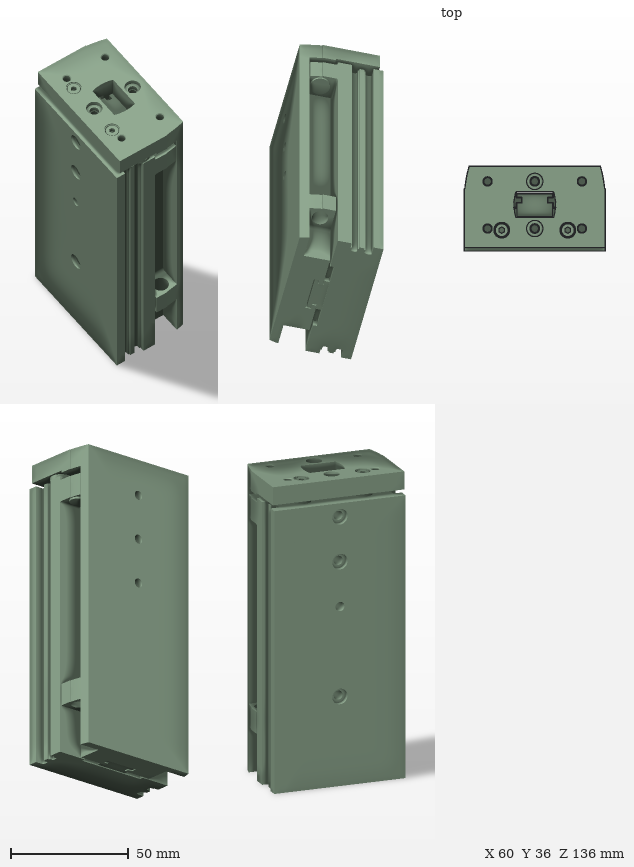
import cadquery as cq

WIDTH = 60.0
DEPTH = 36.0
HALF_WIDTH = WIDTH / 2
SLIDE_HEIGHT = 136.0
HOUSING_HEIGHT = 125.8
Y_BACK = DEPTH / 2
Y_FRONT = -DEPTH / 2

END_PLATE_FRONT = -16.5
END_PLATE_BOTTOM = 128.0
INNER_PLATE_BOTTOM = 127.0
BACK_PLATE_INNER = 14.0
BACK_HALF_WIDTH = 27.9
SIDE_ARC_HALF_WIDTH = 29.0
SIDE_ARC_MIDDLE = 13.3
SIDE_ARC_END = 8.5
SIDE_ARC_STEP = 0.3
WALL_HALF_WIDTH = 18.9
WALL_BOTTOM = 2.7
WALL_FILLET = 1.4
STOP_LOW = 20.8
STOP_HIGH = 30.6
ARM_HALF_WIDTH = 15.6
ARM_BOTTOM = 0.5
ARM_LOW = 2.7
LEDGE_HALF_WIDTH = 17.0
LEDGE_BOTTOM = 2.3
LEDGE_LOW = 44.9
WINDOW_LOW = 123.8
WINDOW_TOP = 7.1
WINDOW_BOTTOM = -3.7
WINDOW_HALF_WIDTH = 8.0
WINDOW_BULGE = 0.8

HOUSING_BACK = 1.9
RECESS_HALF_WIDTH = 16.0
RECESS_FLOOR = 0.1
GROOVE_DEPTH = 4.1
GROOVE_ARC = 0.4
GROOVE_STEP_DEPTH = 2.2
UPPER_GROOVE_MOUTH = (-4.2, -7.9)
UPPER_GROOVE_FLOOR = (-4.8, -7.3)
LOWER_GROOVE_MOUTH = (-10.0, -13.7)
LOWER_GROOVE_FLOOR = (-10.6, -13.7)
RIDGE_SETBACK = 1.4
BLOCK_LOW = 114.1
BLOCK_HIGH = 123.9
BLOCK_BACK = 13.6
BLOCK_INNER = 19.3
BLOCK_FILLET = 0.7
CUSHION_DIAMETER = 9.5
CUSHION_X = 25.0
CUSHION_Y = -3.1
CUSHION_TOP = 127.5

RAIL_HALF_WIDTH = 7.6
RAIL_BOTTOM = -3.4
RAIL_TOP = 6.4
RAIL_LOW = 0.4
RAIL_HIGH = 127.5
NOTCH_HALF_WIDTH = 5.5
NOTCH_BOTTOM = 2.5
NOTCH_TOP = 4.8
RAIL_CLEARANCE = 0.1

BUMPER_X = 24.9
BUMPER_Y = 8.5
BUMPER_DIAMETER = 8.5
BUMPER_LENGTH = 0.8
STOP_HOLE_DIAMETER = 7.0

ROD_X = 14.0
ROD_Y = -9.1
ROD_DIAMETER = 8.2
SCREW_BORE_DIAMETER = 6.7
SCREW_BORE_DEPTH = 0.5
SCREW_RING_DIAMETER = 6.0
SCREW_HEAD_DIAMETER = 5.5
SCREW_RING_DEPTH = 2.7
SOCKET_WIDTH = 2.7
SOCKET_DEPTH = 2.0

HOLE_PITCH = 20.0
FRONT_HOLE_TOP = 119.8
MOUNT_HOLE_DIAMETER = 4.1
MOUNT_BORE_DIAMETER = 7.0
MOUNT_BORE_DEPTH = 2.0
END_LEAD_IN_DEPTH = 2.0
THREAD_DIAMETER = 3.3
THREAD_MOUTH = 4.0
THREAD_DEPTH = 6.8
END_HOLE_BACK = 11.5

FRONT_HOLE_Z = [FRONT_HOLE_TOP - HOLE_PITCH * step for step in (0, 1, 2, 4)]
DOWEL_HOLE_Z = FRONT_HOLE_Z[2]
BORED_HOLE_Z = [z for z in FRONT_HOLE_Z if z != DOWEL_HOLE_Z]
THROUGH_HOLE_Z = FRONT_HOLE_Z[:3]
END_HOLE_ROWS = (END_HOLE_BACK, END_HOLE_BACK - HOLE_PITCH)
SIDES = (-1, 1)


def box(x_range, y_range, z_range):
    """Box between the given limits on each axis."""
    (x0, x1), (y0, y1), (z0, z1) = x_range, y_range, z_range
    return cq.Workplane("XY").box(x1 - x0, y1 - y0, z1 - z0, centered=False).translate((x0, y0, z0))


def post(x, y, diameter, z_low, z_high):
    """Vertical cylinder between two heights."""
    return cq.Workplane("XY", origin=(x, y, z_low)).circle(diameter / 2).extrude(z_high - z_low)


def drill_from_front(z, diameter, y_start, y_end):
    """Cylinder along Y on the centre plane, from y_start back to y_end."""
    plane = cq.Workplane("XZ", origin=(0, y_start, z))
    return plane.circle(diameter / 2).extrude(-(y_end - y_start))


def mirror_x(shape):
    """The shape together with its mirror image in the YZ plane."""
    return shape.union(shape.mirror("YZ"))


def body_outline():
    """Cross-section of the slide: straight flanks with bowed back corners."""
    return (
        cq.Workplane("XY")
        .moveTo(-HALF_WIDTH, END_PLATE_FRONT)
        .lineTo(HALF_WIDTH, END_PLATE_FRONT)
        .lineTo(HALF_WIDTH, SIDE_ARC_END)
        .lineTo(HALF_WIDTH - SIDE_ARC_STEP, SIDE_ARC_END)
        .threePointArc((SIDE_ARC_HALF_WIDTH, SIDE_ARC_MIDDLE), (BACK_HALF_WIDTH, Y_BACK))
        .lineTo(-BACK_HALF_WIDTH, Y_BACK)
        .threePointArc((-SIDE_ARC_HALF_WIDTH, SIDE_ARC_MIDDLE), (SIDE_ARC_STEP - HALF_WIDTH, SIDE_ARC_END))
        .lineTo(-HALF_WIDTH, SIDE_ARC_END)
        .close()
    )


def rail_bar(clearance, top, z_low, z_high):
    """Guide rail with a running groove in each flank, its flanks grown by a clearance."""
    wide = RAIL_HALF_WIDTH + clearance
    narrow = NOTCH_HALF_WIDTH + clearance
    notch_low = NOTCH_BOTTOM + clearance
    notch_high = NOTCH_TOP - clearance
    right_side = [
        (wide, RAIL_BOTTOM),
        (wide, notch_low),
        (narrow, notch_low),
        (narrow, notch_high),
        (wide, notch_high),
        (wide, top),
    ]
    left_side = [(-x, y) for x, y in reversed(right_side)]
    outline = cq.Workplane("XY", origin=(0, 0, z_low)).polyline(right_side + left_side).close()
    return outline.extrude(z_high - z_low)


def side_pocket(z_low, z_high, rounded_edges):
    """Left pocket between the back plate and the housing, rounded against the centre wall."""
    pocket = box((-HALF_WIDTH, -WALL_HALF_WIDTH), (WALL_BOTTOM, BACK_PLATE_INNER), (z_low, z_high))
    return pocket.edges(rounded_edges).fillet(WALL_FILLET)


def window():
    """Opening in the end plate over the rail, with bowed ends."""
    middle = (WINDOW_TOP + WINDOW_BOTTOM) / 2
    bulge = WINDOW_HALF_WIDTH + WINDOW_BULGE
    return (
        cq.Workplane("XY", origin=(0, 0, WINDOW_LOW))
        .moveTo(-WINDOW_HALF_WIDTH, WINDOW_BOTTOM)
        .lineTo(WINDOW_HALF_WIDTH, WINDOW_BOTTOM)
        .threePointArc((bulge, middle), (WINDOW_HALF_WIDTH, WINDOW_TOP))
        .lineTo(-WINDOW_HALF_WIDTH, WINDOW_TOP)
        .threePointArc((-bulge, middle), (-WINDOW_HALF_WIDTH, WINDOW_BOTTOM))
        .close()
        .extrude(SLIDE_HEIGHT - WINDOW_LOW)
    )


def threaded_end_hole(x, y):
    """Blind thread in the end plate with a slightly wider mouth."""
    lead_in = (THREAD_MOUTH - THREAD_DIAMETER) / 2
    hole = post(x, y, THREAD_DIAMETER, SLIDE_HEIGHT - THREAD_DEPTH, SLIDE_HEIGHT)
    mouth = (
        cq.Workplane("XY", origin=(x, y, SLIDE_HEIGHT))
        .circle(THREAD_MOUTH / 2)
        .workplane(offset=-lead_in)
        .circle(THREAD_DIAMETER / 2)
        .loft()
    )
    return hole.union(mouth)


def bored_end_hole(y):
    """Counterbored blind thread on the centre plane of the end plate."""
    bore_floor = SLIDE_HEIGHT - MOUNT_BORE_DEPTH
    bore = post(0, y, MOUNT_BORE_DIAMETER, bore_floor, SLIDE_HEIGHT)
    lead_in = post(0, y, MOUNT_HOLE_DIAMETER, bore_floor - END_LEAD_IN_DEPTH, bore_floor)
    return bore.union(lead_in).union(post(0, y, THREAD_DIAMETER, SLIDE_HEIGHT - THREAD_DEPTH, bore_floor))


def rod_screw_cut(x):
    """Sunk screw head with a hexagon socket, above a piston rod."""
    head_top = SLIDE_HEIGHT - SCREW_BORE_DEPTH
    ring_floor = SLIDE_HEIGHT - SCREW_RING_DEPTH
    bore = post(x, ROD_Y, SCREW_BORE_DIAMETER, head_top, SLIDE_HEIGHT)
    ring = post(x, ROD_Y, SCREW_RING_DIAMETER, ring_floor, head_top)
    ring = ring.cut(post(x, ROD_Y, SCREW_HEAD_DIAMETER, ring_floor, head_top))
    socket = (
        cq.Workplane("XY", origin=(x, ROD_Y, head_top))
        .transformed(rotate=(0, 0, 90))
        .polygon(6, SOCKET_WIDTH)
        .extrude(-SOCKET_DEPTH)
    )
    return bore.union(ring).union(socket)


def make_slide():
    """L-shaped slide with its carriage and piston rods."""
    slide = body_outline().extrude(SLIDE_HEIGHT)

    full_x = (-HALF_WIDTH, HALF_WIDTH)
    slide = slide.cut(box(full_x, (Y_FRONT, WALL_BOTTOM), (0, END_PLATE_BOTTOM)))
    upper_pocket = side_pocket(STOP_HIGH, INNER_PLATE_BOTTOM, ">X and |Y")
    lower_pocket = side_pocket(0, STOP_LOW, ">X and >Z and |Y")
    slide = slide.cut(mirror_x(upper_pocket)).cut(mirror_x(lower_pocket))
    slide = slide.union(
        box(
            (-WALL_HALF_WIDTH, WALL_HALF_WIDTH),
            (WALL_BOTTOM, BACK_PLATE_INNER),
            (INNER_PLATE_BOTTOM, END_PLATE_BOTTOM),
        )
    )

    arm_x = (-ARM_HALF_WIDTH, ARM_HALF_WIDTH)
    slide = slide.union(box(arm_x, (ARM_BOTTOM, WALL_BOTTOM), (ARM_LOW, WINDOW_LOW)))
    ledge_x = (-LEDGE_HALF_WIDTH, LEDGE_HALF_WIDTH)
    slide = slide.union(box(ledge_x, (LEDGE_BOTTOM, WALL_BOTTOM), (LEDGE_LOW, WINDOW_LOW)))
    slide = slide.cut(rail_bar(RAIL_CLEARANCE, WINDOW_TOP, 0, WINDOW_LOW)).cut(window())

    for side in SIDES:
        slide = slide.union(post(side * ROD_X, ROD_Y, ROD_DIAMETER, HOUSING_HEIGHT, END_PLATE_BOTTOM))
        slide = slide.cut(rod_screw_cut(side * ROD_X))
        slide = slide.cut(post(side * BUMPER_X, BUMPER_Y, STOP_HOLE_DIAMETER, STOP_LOW, STOP_HIGH))

    for y in END_HOLE_ROWS:
        slide = slide.cut(bored_end_hole(y))
        for side in SIDES:
            slide = slide.cut(threaded_end_hole(side * HOLE_PITCH, y))
    for z in THROUGH_HOLE_Z:
        slide = slide.cut(drill_from_front(z, MOUNT_HOLE_DIAMETER, Y_FRONT, Y_BACK))
    return slide


def side_groove(mouth, floor):
    """Sensor groove in the left flank: a wide mouth, then a narrower slot with an arched floor."""
    floor_x = -HALF_WIDTH + GROOVE_DEPTH
    step_x = -HALF_WIDTH + GROOVE_STEP_DEPTH
    floor_middle = sum(floor) / 2
    entry = box((-HALF_WIDTH, step_x), (mouth[1], mouth[0]), (0, HOUSING_HEIGHT))
    slot = (
        cq.Workplane("XY")
        .moveTo(-HALF_WIDTH, floor[0])
        .lineTo(floor_x - GROOVE_ARC, floor[0])
        .threePointArc((floor_x, floor_middle), (floor_x - GROOVE_ARC, floor[1]))
        .lineTo(-HALF_WIDTH, floor[1])
        .close()
        .extrude(HOUSING_HEIGHT)
    )
    return entry.union(slot)


def stop_block():
    """Left stop block on the back of the housing, shaped to the slide's flank."""
    root = HOUSING_BACK + BLOCK_FILLET
    profile = (
        cq.Workplane("YZ", origin=(-HALF_WIDTH, 0, 0))
        .moveTo(HOUSING_BACK, BLOCK_LOW - BLOCK_FILLET)
        .radiusArc((root, BLOCK_LOW), BLOCK_FILLET)
        .lineTo(BLOCK_BACK, BLOCK_LOW)
        .lineTo(BLOCK_BACK, BLOCK_HIGH)
        .lineTo(root, BLOCK_HIGH)
        .radiusArc((HOUSING_BACK, BLOCK_HIGH + BLOCK_FILLET), BLOCK_FILLET)
        .close()
    )
    block = profile.extrude(HALF_WIDTH - BLOCK_INNER)
    block = block.intersect(body_outline().extrude(SLIDE_HEIGHT))
    return block.union(post(-BUMPER_X, BUMPER_Y, BUMPER_DIAMETER, BLOCK_LOW - BUMPER_LENGTH, BLOCK_HIGH))


def make_housing():
    """Housing with its guide rail, stop blocks and cushion cap."""
    full_z = (0, HOUSING_HEIGHT)
    housing = box((-HALF_WIDTH, HALF_WIDTH), (Y_FRONT, HOUSING_BACK), full_z)

    ridge_y = (LOWER_GROOVE_MOUTH[0], UPPER_GROOVE_MOUTH[1])
    flank = box((-HALF_WIDTH, -HALF_WIDTH + RIDGE_SETBACK), ridge_y, full_z)
    flank = flank.union(side_groove(UPPER_GROOVE_MOUTH, UPPER_GROOVE_FLOOR))
    flank = flank.union(side_groove(LOWER_GROOVE_MOUTH, LOWER_GROOVE_FLOOR))
    housing = housing.cut(mirror_x(flank))

    recess = box((-RECESS_HALF_WIDTH, RECESS_HALF_WIDTH), (RECESS_FLOOR, HOUSING_BACK), full_z)
    rail = rail_bar(0, RAIL_TOP, RAIL_LOW, RAIL_HIGH)
    housing = housing.cut(recess).union(rail).union(mirror_x(stop_block()))

    housing = housing.union(post(CUSHION_X, CUSHION_Y, CUSHION_DIAMETER, HOUSING_HEIGHT, CUSHION_TOP))

    for z in FRONT_HOLE_Z:
        housing = housing.cut(drill_from_front(z, MOUNT_HOLE_DIAMETER, Y_FRONT, RAIL_TOP))
    for z in BORED_HOLE_Z:
        bore = drill_from_front(z, MOUNT_BORE_DIAMETER, Y_FRONT, Y_FRONT + MOUNT_BORE_DEPTH)
        housing = housing.cut(bore)
    return housing


slide = make_slide().solids()
housing = make_housing().solids()
result = cq.Compound.makeCompound([slide.val(), housing.val()])